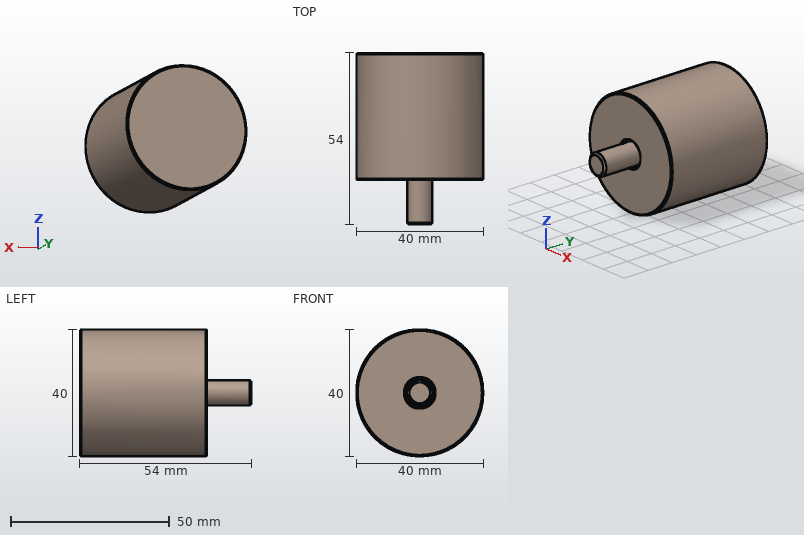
import cadquery as cq

overall_length = 54.0
body_diameter = 40.0
body_length = body_diameter
edge_chamfer = 0.5
pin_diameter = 8.0
pin_chamfer = 0.7
pin_projection = overall_length - body_length

bore_diameter = 9.0
bore_depth = body_length / 2
shoulder_depth = 3.0
shoulder_fillet = 0.45

front_y = -body_length / 2
pin_tip_y = front_y - pin_projection
shoulder_y = front_y + shoulder_depth
bore_end_y = front_y + bore_depth


def cylinder_along_y(diameter, start_y, end_y):
    """Cylinder about the Y axis, running from start_y to end_y."""
    return (
        cq.Workplane("XZ", origin=(0, start_y, 0))
        .circle(diameter / 2)
        .extrude(start_y - end_y)
    )


def make_body():
    """Cylinder with a blind bore, chamfered on both rims and at the bore mouth."""
    body = cylinder_along_y(body_diameter, front_y, -front_y)
    body = body.cut(cylinder_along_y(bore_diameter, front_y, bore_end_y))
    return body.faces("<Y or >Y").chamfer(edge_chamfer)


def make_pin():
    """Stepped pin with a chamfered tip and a fillet where it meets its shank."""
    pin = cylinder_along_y(pin_diameter, pin_tip_y, shoulder_y)
    pin = pin.union(cylinder_along_y(bore_diameter, shoulder_y, bore_end_y))
    pin = pin.faces("<Y").chamfer(pin_chamfer)
    shoulder = pin.faces("|Y").faces(">Y[1]")
    root_edge = shoulder.edges(cq.selectors.RadiusNthSelector(0))
    return root_edge.fillet(shoulder_fillet)


body = make_body()
pin = make_pin()

result = cq.Compound.makeCompound([body.val(), pin.val()])